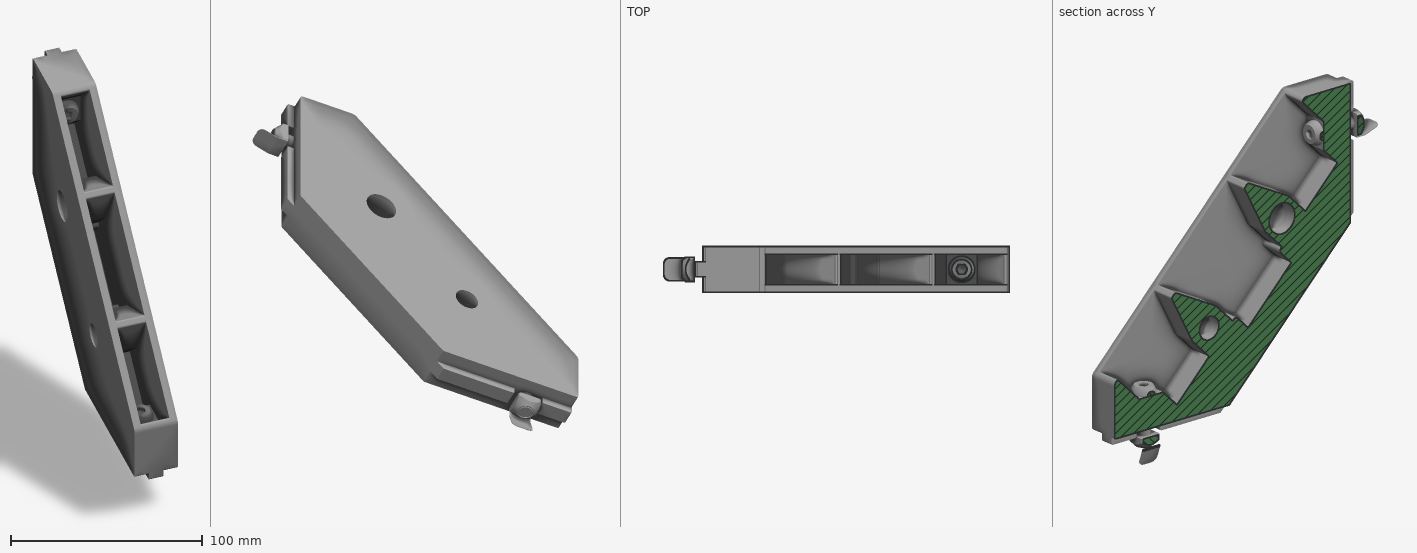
import cadquery as cq
import math


ROOT2 = math.sqrt(2)

leg = 160.0
thickness = 24.0
top_flat = 31.0
lower_cut = 82.2
tongue_height = 4.0
tongue_width = 8.0
edge_radius = 1.0
slope_radius = 4.0

slope_v = (leg + top_flat) / ROOT2
core_width = 15.9
rib_u = 34.8
rib_tip_half = 1.8
rib_root_half = 11.4
rib_root_v = 105.6
pocket_end_u = 88.1
pocket_floor_v = 89.5
lip_width = 2.9
channel_floor_v = 77.6
mouth_radius = 1.0
mouth_overrun = 1.8
flare_radius = 4.3
lip_radius = 2.2
ledge_radius = 0.5

hole_v = 100.5
upper_hole_diameter = 17.0
lower_hole_diameter = 12.8

screw_position = 135.0
seat_width = 16.0
seat_right = screw_position + seat_width / 2
seat_depth = seat_right - pocket_end_u * ROOT2
shank_diameter = 8.0
shank_end_diameter = 6.9
head_diameter = 13.7
head_flat_diameter = 10.3
head_height = 4.3
head_rim = 0.5
head_bulge = 0.4
hex_corner_diameter = 5.8
hex_depth = 2.2
hex_tip_depth = 1.6

nut_width = 12.8
nut_top = -4.5
nut_bottom = -11.0
nut_corner_radius = 1.5
nut_end_diameter = 9.0

spring_width = 12.1
spring_thickness = 0.4
spring_bend = -10.3
spring_tip = leg - 180.5
spring_angle = math.radians(19.4)
spring_bend_radius = 3.6
spring_corner_radius = 3.6

rib_wall_u = rib_u - rib_root_half
channel_u = rib_wall_u - lip_width
outer_wall_u = rib_u + rib_root_half
rib_tip_inner_u = rib_u - rib_tip_half
rib_tip_outer_u = rib_u + rib_tip_half
seat_outer_v = (seat_right + seat_depth) / ROOT2
seat_run = seat_width / ROOT2
mouth_v = slope_v + mouth_overrun
rib_taper = (rib_root_half - rib_tip_half) / (slope_v - rib_root_v)
mouth_narrowing = rib_taper * mouth_overrun


def leg_plane():
    """Work plane square to Y, with local x along X and local y along Z."""
    return cq.Workplane("XZ")


def sloping_plane():
    """Work plane square to Y, with local axes u and v."""
    return cq.Workplane(cq.Plane(origin=(0, 0, 0), xDir=(1, 0, -1), normal=(0, -1, 0)))


def round_corners(body, corners, radius):
    """Round the edges along Y that pass through the given (x, z) corners."""
    for x, z in corners:
        nearest = cq.selectors.NearestToPointSelector((x, 0, z))
        body = body.edges("|Y").edges(nearest).fillet(radius)
    return body


def from_slope(u, v):
    """Change sloping (u, v) into (x, z)."""
    return (v + u) / ROOT2, (v - u) / ROOT2


def mirrored(points):
    """The (u, v) points together with their reflections in the symmetry plane."""
    return points + [(-u, v) for u, v in points]


def bracket_plate(width):
    """The bracket outline without its tongues, as a plain plate."""
    outline = [
        (lower_cut, 0), (leg, 0), (leg, top_flat),
        (top_flat, leg), (0, leg), (0, lower_cut),
    ]
    plate = leg_plane().polyline(outline).close().extrude(width / 2, both=True)
    plate = round_corners(plate, [(leg, top_flat), (top_flat, leg)], slope_radius)
    face_ends = [(lower_cut, 0), (leg, 0), (0, leg), (0, lower_cut)]
    return round_corners(plate, face_ends, edge_radius)


def middle_pocket():
    """Pocket between the two ribs, with a deeper channel in its floor."""
    half = [
        (rib_tip_inner_u + mouth_narrowing, mouth_v),
        (rib_wall_u, rib_root_v),
        (rib_wall_u, pocket_floor_v),
        (channel_u, pocket_floor_v),
        (channel_u, channel_floor_v),
    ]
    other_half = [(-u, v) for u, v in reversed(half)]
    profile = sloping_plane().polyline(half + other_half).close()
    return profile.extrude(core_width / 2, both=True)


def outer_pocket(side):
    """Pocket between a rib and an end wall, with the screw seat; side is +1 or -1."""
    profile = [
        (rib_tip_outer_u - mouth_narrowing, mouth_v),
        (outer_wall_u, rib_root_v),
        (outer_wall_u, pocket_floor_v),
        (pocket_end_u - seat_run, pocket_floor_v),
        (pocket_end_u - seat_run, seat_outer_v - seat_run),
        (pocket_end_u, seat_outer_v),
        (pocket_end_u, mouth_v),
    ]
    points = [(side * u, v) for u, v in profile]
    return sloping_plane().polyline(points).close().extrude(core_width / 2, both=True)


def bracket_core():
    """The middle layer of the bracket, with the pockets between the ribs."""
    core = bracket_plate(core_width)
    core = core.cut(middle_pocket()).cut(outer_pocket(1)).cut(outer_pocket(-1))
    roundings = [
        (mouth_radius, [(u, slope_v) for u in (rib_tip_inner_u, rib_tip_outer_u, pocket_end_u)]),
        (flare_radius, [(rib_wall_u, rib_root_v), (outer_wall_u, rib_root_v)]),
        (lip_radius, [(channel_u, pocket_floor_v)]),
        (ledge_radius, [(rib_wall_u, pocket_floor_v)]),
    ]
    for radius, points in roundings:
        core = round_corners(core, [from_slope(u, v) for u, v in mirrored(points)], radius)
    return core


def side_plates():
    """The two outer layers that close the pockets at the sides."""
    return bracket_plate(thickness).cut(
        cq.Workplane("XY").box(3 * leg, core_width, 3 * leg)
    )


def tongue():
    """Tongue along the lower mounting face, with a gap at the screw."""
    outline = [
        (lower_cut - edge_radius, edge_radius), (lower_cut + tongue_height, -tongue_height),
        (leg, -tongue_height), (leg, edge_radius),
    ]
    body = leg_plane().polyline(outline).close().extrude(tongue_width / 2, both=True)
    gap = cq.Workplane("XY").box(seat_width, thickness, 2 * tongue_height)
    body = body.cut(gap.translate((screw_position, 0, -tongue_height)))
    gap_corners = [(screw_position + side * seat_width / 2, -tongue_height) for side in (-1, 1)]
    return round_corners(body, [(leg, -tongue_height)] + gap_corners, edge_radius)


def cross_hole(u, diameter):
    return sloping_plane().center(u, hole_v).circle(diameter / 2).extrude(thickness, both=True)


def screw_hole():
    hole = cq.Workplane("XY").circle(shank_diameter / 2).extrude(seat_depth)
    return hole.translate((screw_position, 0, 0))


def mirror_legs(body):
    """The same shape on the other leg of the bracket."""
    return body.mirror((1, 0, -1))


def make_bracket():
    bracket = bracket_core().union(side_plates())
    lower_tongue = tongue()
    bracket = bracket.union(lower_tongue).union(mirror_legs(lower_tongue))
    bracket = bracket.cut(cross_hole(-rib_u, upper_hole_diameter))
    bracket = bracket.cut(cross_hole(rib_u, lower_hole_diameter))
    lower_hole = screw_hole()
    return bracket.cut(lower_hole).cut(mirror_legs(lower_hole))


def make_screw():
    """Domed screw with a hexagon socket; its axis is Z and the mounting face is Z = 0."""
    shank_radius = shank_diameter / 2
    end_radius = shank_end_diameter / 2
    head_radius = head_diameter / 2
    flat_radius = head_flat_diameter / 2
    rim_top = seat_depth + head_rim
    head_top = seat_depth + head_height
    dome_middle = ((head_radius + flat_radius) / 2 + head_bulge, (rim_top + head_top) / 2)
    screw = (
        leg_plane()
        .moveTo(0, nut_bottom)
        .lineTo(end_radius, nut_bottom)
        .lineTo(shank_radius, nut_bottom + shank_radius - end_radius)
        .lineTo(shank_radius, seat_depth)
        .lineTo(head_radius, seat_depth)
        .lineTo(head_radius, rim_top)
        .threePointArc(dome_middle, (flat_radius, head_top))
        .lineTo(0, head_top)
        .close()
        .revolve(360, (0, 0, 0), (0, 1, 0))
    )
    socket_bottom = head_top - hex_depth
    hexagon = (
        cq.Workplane("XY", origin=(0, 0, socket_bottom))
        .polygon(6, hex_corner_diameter)
        .extrude(hex_depth)
    )
    drill_point = cq.Workplane(
        cq.Solid.makeCone(hex_corner_diameter / 2, 0, hex_tip_depth, (0, 0, socket_bottom), (0, 0, -1))
    )
    return screw.cut(hexagon).cut(drill_point)


def make_nut():
    """Square nut whose lower end is turned to a cone."""
    nut_height = nut_top - nut_bottom
    block = (
        cq.Workplane("XY", origin=(0, 0, nut_bottom))
        .rect(nut_width, nut_width)
        .extrude(nut_height)
        .edges("|Z")
        .fillet(nut_corner_radius)
    )
    end_radius = nut_end_diameter / 2
    cone = cq.Workplane(
        cq.Solid.makeCone(end_radius, end_radius + nut_height, nut_height, (0, 0, nut_bottom))
    )
    bore = cq.Workplane("XY", origin=(0, 0, nut_bottom)).circle(shank_diameter / 2).extrude(nut_height)
    return block.intersect(cone).cut(bore)


def make_spring():
    """Bent leaf lying on the +Y side of the nut, its free end turned in under the nut."""
    inner_y = nut_width / 2
    outer_y = inner_y + spring_thickness
    bend_drop = spring_thickness * math.tan(spring_angle / 2)
    tip_y = outer_y - (spring_bend - spring_tip) * math.tan(spring_angle)
    tip_inner_y = tip_y - spring_thickness * math.cos(spring_angle)
    tip_inner_z = spring_tip + spring_thickness * math.sin(spring_angle)
    outline = [
        (outer_y, nut_top), (outer_y, spring_bend), (tip_y, spring_tip),
        (tip_inner_y, tip_inner_z), (inner_y, spring_bend + bend_drop), (inner_y, nut_top),
    ]
    leaf = cq.Workplane("YZ").polyline(outline).close().extrude(spring_width / 2, both=True)
    outer_bend = cq.selectors.NearestToPointSelector((0, outer_y, spring_bend))
    inner_bend = cq.selectors.NearestToPointSelector((0, inner_y, spring_bend + bend_drop))
    leaf = leaf.edges("|X").edges(outer_bend).fillet(spring_bend_radius + spring_thickness)
    leaf = leaf.edges("|X").edges(inner_bend).fillet(spring_bend_radius)
    across_tip = cq.Vector(0, math.cos(spring_angle), -math.sin(spring_angle))
    tip_corners = cq.selectors.ParallelDirSelector(across_tip)
    return leaf.edges(tip_corners).fillet(spring_corner_radius)


fastener_places = [
    cq.Location(cq.Plane(origin=(screw_position, 0, 0), xDir=(1, 0, 0), normal=(0, 0, 1))),
    cq.Location(cq.Plane(origin=(0, 0, screw_position), xDir=(0, -1, 0), normal=(1, 0, 0))),
]

bracket = make_bracket().val()
screws = [make_screw().val().moved(place) for place in fastener_places]
nuts = [make_nut().val().moved(place) for place in fastener_places]
springs = [make_spring().val().moved(place) for place in fastener_places]

result = cq.Compound.makeCompound([bracket, *screws, *nuts, *springs])